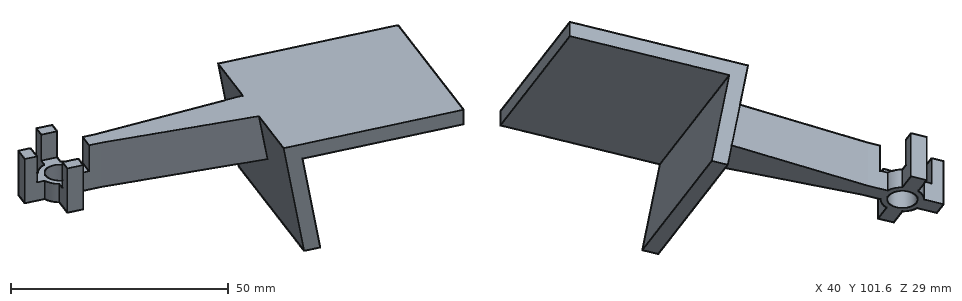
import cadquery as cq
import math

total_length = 101.6
plate_width = 40.0
total_height = 29.0

wall = 4.0
plate_length = 44.7
lean_angle = 10.0

hub_span = 19.0
spoke_width = 4.0
prong_length = 3.0
hub_height = 12.0
ring_height = 5.0
ring_diameter = 10.0
hole_diameter = 7.0

arm_root_width = 9.8

hub_radius = hub_span / 2
plate_back = total_length - hub_radius
plate_front = plate_back - plate_length
lean_slope = math.tan(math.radians(lean_angle))
leg_run = wall / math.cos(math.radians(lean_angle))


def leg_front(z):
    """Y of the leaning leg's front face at height z."""
    return plate_front - z * lean_slope


def bracket():
    """Side profile of the plate and its leg, extruded across the width."""
    outline = [
        (plate_front, 0),
        (plate_back, 0),
        (plate_back, -wall),
        (leg_front(-wall) + leg_run, -wall),
        (leg_front(-total_height) + leg_run, -total_height),
        (leg_front(-total_height), -total_height),
    ]
    return cq.Workplane("YZ").polyline(outline).close().extrude(plate_width / 2, both=True)


def arm():
    """Tapered arm, trimmed at the back to meet the face of the leaning leg."""
    taper = (arm_root_width - spoke_width) / 2 / (plate_front - hub_radius)
    arm_back = leg_front(-hub_height)
    tip = spoke_width / 2
    back = tip + taper * (arm_back - hub_radius)
    plan = [(-tip, hub_radius), (tip, hub_radius), (back, arm_back), (-back, arm_back)]
    body = cq.Workplane("XY").polyline(plan).close().extrude(-hub_height)
    side = [
        (hub_radius, 0),
        (plate_front, 0),
        (arm_back, -hub_height),
        (hub_radius, -hub_height),
    ]
    trim = cq.Workplane("YZ").polyline(side).close().extrude(arm_root_width, both=True)
    return body.intersect(trim)


def hub():
    """Bored ring and four spokes with full-height prongs at their ends."""
    base = cq.Workplane("XY").workplane(offset=-hub_height)
    body = base.circle(ring_diameter / 2).extrude(ring_height)
    body = body.union(base.rect(hub_span, spoke_width).extrude(ring_height))
    body = body.union(base.rect(spoke_width, hub_span).extrude(ring_height))
    prongs = (
        base.polarArray(hub_radius - prong_length / 2, 0, 360, 4)
        .rect(prong_length, spoke_width)
        .extrude(hub_height)
    )
    bore = base.circle(hole_diameter / 2).extrude(ring_height)
    return body.union(prongs).cut(bore)


result = bracket().union(arm()).union(hub())